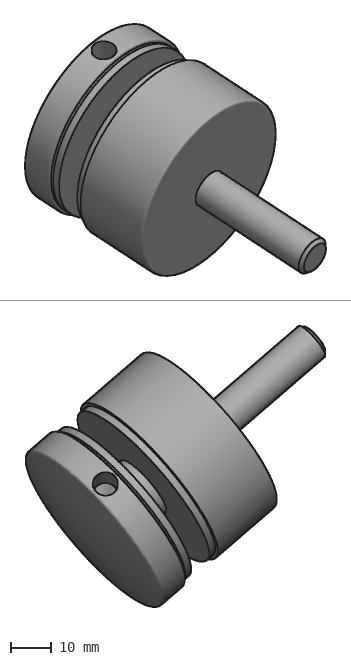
import cadquery as cq
import math

overall_length = 77.0

body_diameter = 50.05
gasket_diameter = 48.05
sleeve_diameter = 16.9
rod_diameter = 10.0

dome_height = 3.0
cap_rim_width = 8.0
cap_boss_width = 0.7
gasket_thickness = 2.0
clamp_gap = 6.0
housing_length = 20.2

cap_front_fillet = 0.8
cap_rear_fillet = 0.55
housing_rear_fillet = 0.7
rod_chamfer = 0.9

wrench_hole_diameter = 6.15
wrench_hole_x = 7.0
wrench_hole_depth = 7.7
drill_point_angle = 118.0

cap_rear_x = dome_height + cap_rim_width
front_gasket_x = cap_rear_x + cap_boss_width
gap_start_x = front_gasket_x + gasket_thickness
rear_gasket_x = gap_start_x + clamp_gap
housing_x = rear_gasket_x + gasket_thickness
housing_end_x = housing_x + housing_length


def cylinder_along_x(start_x, end_x, diameter):
    return cq.Workplane("YZ").workplane(offset=start_x).circle(diameter / 2).extrude(end_x - start_x)


def make_wrench_hole():
    """Drilled hole with a conical bottom, revolved about its vertical axis."""
    hole_radius = wrench_hole_diameter / 2
    top_z = body_diameter / 2
    floor_z = top_z - wrench_hole_depth
    tip_z = floor_z - hole_radius / math.tan(math.radians(drill_point_angle / 2))
    return (
        cq.Workplane("XZ", origin=(wrench_hole_x, 0, 0))
        .moveTo(0, tip_z)
        .lineTo(hole_radius, floor_z)
        .lineTo(hole_radius, top_z)
        .lineTo(0, top_z)
        .close()
        .revolve(360, (0, 0, 0), (0, 1, 0))
    )


def make_cap():
    """Domed disc with rounded rim edges and a shallow boss behind it."""
    rim_radius = body_diameter / 2
    dome_radius = (rim_radius**2 + dome_height**2) / (2 * dome_height)
    half_way_radius = rim_radius / 2
    half_way_x = dome_radius - math.sqrt(dome_radius**2 - half_way_radius**2)
    disc = (
        cq.Workplane("XY")
        .threePointArc((half_way_x, half_way_radius), (dome_height, rim_radius))
        .lineTo(cap_rear_x, rim_radius)
        .lineTo(cap_rear_x, 0)
        .close()
        .revolve(360, (0, 0, 0), (1, 0, 0))
    )
    disc = disc.faces(">X").edges().fillet(cap_rear_fillet)
    front_edge = cq.selectors.BoxSelector(
        (dome_height - cap_front_fillet, -body_diameter, -body_diameter),
        (dome_height + cap_front_fillet, body_diameter, body_diameter),
        boundingbox=True,
    )
    disc = disc.edges(front_edge).fillet(cap_front_fillet)
    boss = cylinder_along_x(cap_rear_x, front_gasket_x, gasket_diameter)
    return disc.union(boss).cut(make_wrench_hole())


def make_gasket(start_x):
    """Flat ring that fits around the sleeve."""
    end_x = start_x + gasket_thickness
    bore = cylinder_along_x(start_x, end_x, sleeve_diameter)
    return cylinder_along_x(start_x, end_x, gasket_diameter).cut(bore)


def make_sleeve():
    """Spacer through both gaskets, from the cap boss to the housing."""
    return cylinder_along_x(front_gasket_x, housing_x, sleeve_diameter)


def make_housing():
    """Round housing bored through for the rod."""
    body = cylinder_along_x(housing_x, housing_end_x, body_diameter)
    body = body.faces(">X").edges().fillet(housing_rear_fillet)
    return body.cut(cylinder_along_x(housing_x, housing_end_x, rod_diameter))


def make_rod():
    """Rod from the sleeve through the housing, with a chamfered free end."""
    rod = cylinder_along_x(housing_x, overall_length, rod_diameter)
    return rod.faces(">X").chamfer(rod_chamfer)


cap = make_cap()
gaskets = [make_gasket(start_x) for start_x in (front_gasket_x, rear_gasket_x)]
sleeve = make_sleeve()
housing = make_housing()
rod = make_rod()

result = cq.Compound.makeCompound(
    [cap.val(), *[gasket.val() for gasket in gaskets], sleeve.val(), housing.val(), rod.val()]
)